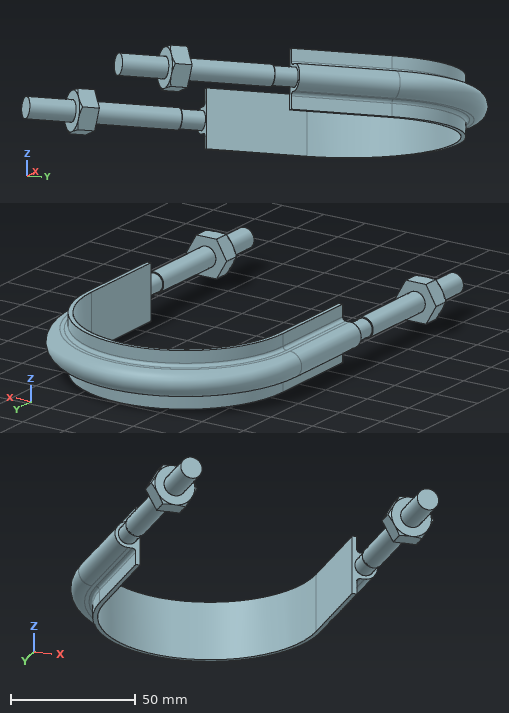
import cadquery as cq
import math

nut_across_flats = 17.0
nut_across_corners = nut_across_flats / math.cos(math.radians(30))
overall_width = 120.6
overall_length = 175.79
bend_radius = (overall_width - nut_across_corners) / 2

rod_diameter = 8.2
thread_diameter = 9.2
thread_length = 66.0

strip_inner_radius = 45.2
strip_thickness = 2.0
strip_width = 25.0
bead_wall = 1.5
bead_root_fillet = 1.5
sleeve_end_to_rod_end = 76.2

strip_outer_radius = strip_inner_radius + strip_thickness
bead_radius = rod_diameter / 2 + bead_wall
rod_end = overall_length - (bend_radius + bead_radius)
sleeve_leg = rod_end - sleeve_end_to_rod_end
thread_start = rod_end - thread_length

nut_height = 8.0
nut_to_rod_end = 20.0
nut_chamfer_angle = 30.0
nut_outer_face = rod_end - nut_to_rod_end
nut_inner_face = nut_outer_face - nut_height


def leg_plane(distance, x=0.0):
    """Workplane facing -Y, at the given distance from the bend centre; local axes are X and Z."""
    return cq.Workplane("XZ", origin=(x, -distance, 0))


def u_sweep(draw_profile, leg_length):
    """Carry the profile drawn at the +X end of the bend round the bend and down both legs."""
    bend = draw_profile().revolve(180, (0, 0, 0), (0, 1, 0))
    leg = draw_profile().extrude(leg_length)
    return bend.union(leg).union(leg.mirror("YZ"))


def rod_profile():
    return leg_plane(0).moveTo(bend_radius, 0).circle(rod_diameter / 2)


def sleeve_profile():
    half_width = strip_width / 2
    root_x = strip_outer_radius + bead_root_fillet
    root_z = bead_radius + bead_root_fillet
    fillet_mid = bead_root_fillet * math.sqrt(0.5)
    return (
        leg_plane(0)
        .moveTo(strip_inner_radius, -half_width)
        .lineTo(strip_outer_radius, -half_width)
        .lineTo(strip_outer_radius, -root_z)
        .threePointArc((root_x - fillet_mid, -root_z + fillet_mid), (root_x, -bead_radius))
        .lineTo(bend_radius, -bead_radius)
        .threePointArc((bend_radius + bead_radius, 0), (bend_radius, bead_radius))
        .lineTo(root_x, bead_radius)
        .threePointArc((root_x - fillet_mid, root_z - fillet_mid), (strip_outer_radius, root_z))
        .lineTo(strip_outer_radius, half_width)
        .lineTo(strip_inner_radius, half_width)
        .close()
    )


def make_rod():
    rod = u_sweep(rod_profile, thread_start)
    for side in (-1, 1):
        thread = leg_plane(thread_start, side * bend_radius).circle(thread_diameter / 2).extrude(thread_length)
        rod = rod.union(thread)
    return rod


def make_sleeve():
    channel = u_sweep(rod_profile, sleeve_leg)
    return u_sweep(sleeve_profile, sleeve_leg).cut(channel)


def make_nut(x):
    """Hexagon nut with two corners along X and its outer (-Y) face chamfered."""
    hexagon = leg_plane(nut_inner_face, x).polygon(6, nut_across_corners).extrude(nut_height)

    cone_slope = math.tan(math.radians(nut_chamfer_angle))
    cone_base_radius = nut_across_flats / 2 + nut_height / cone_slope
    chamfer_cone = (
        cq.Workplane("XY", origin=(x, 0, 0))
        .moveTo(0, -nut_inner_face)
        .lineTo(cone_base_radius, -nut_inner_face)
        .lineTo(nut_across_flats / 2, -nut_outer_face)
        .lineTo(0, -nut_outer_face)
        .close()
        .revolve(360, (0, 0, 0), (0, 1, 0))
    )
    bore = leg_plane(nut_inner_face, x).circle(thread_diameter / 2).extrude(nut_height)
    return hexagon.intersect(chamfer_cone).cut(bore)


rod = make_rod()
sleeve = make_sleeve()
nuts = [make_nut(side * bend_radius) for side in (-1, 1)]

bodies = [rod, sleeve, *nuts]
result = cq.Compound.makeCompound([body.solids().val() for body in bodies])